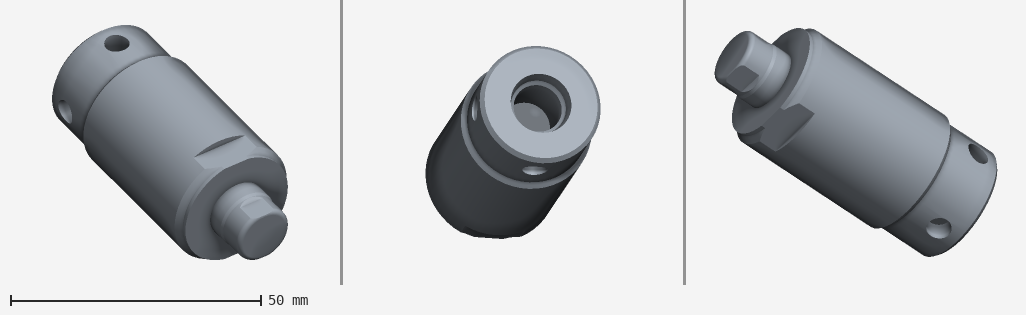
import cadquery as cq

length = 59.25

head_radius = 12.4
head_length = 12.75
head_chamfer = 0.8

barrel_diameter = 26.85
barrel_radius = barrel_diameter / 2
shoulder_chamfer = barrel_radius - head_radius
barrel_end = 49.15
barrel_cone_start = 46.95
barrel_cone_end = 48.2
barrel_lip_radius = 12.25

collar_radius = 6.35
collar_end = 52.9
stub_radius = 6.1
stub_start = 53.6
stub_edge_fillet = 1.0

barrel_flat_start = 42.9
barrel_flat_height = 11.9
stub_flat_start = 54.5
stub_flat_height = 5.45
stub_flat_ramp_start = 53.65

mouth_radius = 6.2
entry_radius = 5.6
entry_depth = 2.5
bore_radius = 4.9
bore_step_length = 0.7
bore_depth = 14.2

spanner_hole_count = 4
spanner_hole_radius = 2.55
spanner_hole_x = 5.6
spanner_hole_floor = 7.7


def revolve_about_x(points):
    """Revolve a closed (x, radius) outline about the X axis."""
    return cq.Workplane("XY").polyline(points).close().revolve(360, (0, 0, 0), (1, 0, 0))


def make_body():
    outline = [
        (0, 0),
        (0, head_radius - head_chamfer),
        (head_chamfer, head_radius),
        (head_length, head_radius),
        (head_length + shoulder_chamfer, barrel_radius),
        (barrel_cone_start, barrel_radius),
        (barrel_cone_end, barrel_lip_radius),
        (barrel_end, barrel_lip_radius),
        (barrel_end, collar_radius),
        (collar_end, collar_radius),
        (stub_start, stub_radius),
        (length, stub_radius),
        (length, 0),
    ]
    return revolve_about_x(outline).faces(">X").edges().fillet(stub_edge_fillet)


def make_bore():
    outline = [
        (0, 0),
        (0, mouth_radius),
        (entry_depth, entry_radius),
        (entry_depth + bore_step_length, bore_radius),
        (bore_depth, bore_radius),
        (bore_depth, 0),
    ]
    return revolve_about_x(outline)


def make_flat_cutter(outline):
    """Extrude an (x, z) outline across the part and mirror it to -Z."""
    upper = cq.Workplane("XZ").polyline(outline).close().extrude(barrel_radius, both=True)
    return upper.union(upper.mirror("XY"))


def make_spanner_hole(angle):
    hole = (
        cq.Workplane("XY", origin=(spanner_hole_x, 0, spanner_hole_floor))
        .circle(spanner_hole_radius)
        .extrude(barrel_radius - spanner_hole_floor)
    )
    return hole.rotate((0, 0, 0), (1, 0, 0), angle)


barrel_flats = make_flat_cutter([
    (barrel_flat_start, barrel_flat_height),
    (barrel_end, barrel_flat_height),
    (barrel_end, barrel_radius),
    (barrel_flat_start, barrel_radius),
])

stub_flats = make_flat_cutter([
    (stub_flat_ramp_start, stub_radius),
    (stub_flat_start, stub_flat_height),
    (length, stub_flat_height),
    (length, stub_radius),
])

result = make_body().cut(make_bore()).cut(barrel_flats).cut(stub_flats)
for index in range(spanner_hole_count):
    result = result.cut(make_spanner_hole(index * 360 / spanner_hole_count))